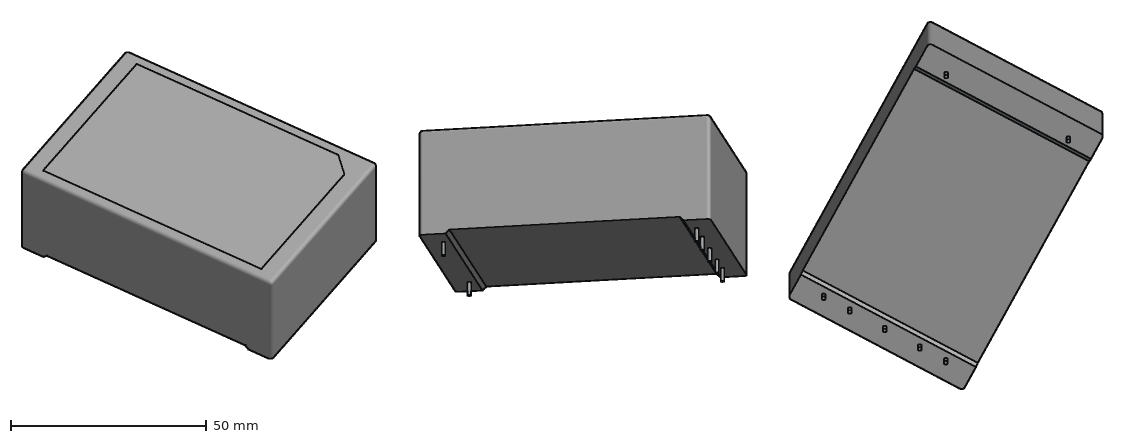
import cadquery as cq

case_length = 76.0
case_width = 51.0
case_height = 28.1
edge_radius = 1.0

foot_length = 7.0
relief_depth = 1.0
relief_slope_run = 1.0

label_length = 66.05
label_width = 45.0
label_corner_cut = 5.0
label_thickness = 0.4

pin_diameter = 1.0
pin_length = 3.5
pin_row_x = label_length / 2
inner_pin_y = 10.2
outer_pin_y = 17.8
left_row_y = [-outer_pin_y, -inner_pin_y, 0, inner_pin_y, outer_pin_y]
right_row_y = [-outer_pin_y, outer_pin_y]
pin_places = [(-pin_row_x, y) for y in left_row_y] + [(pin_row_x, y) for y in right_row_y]


def make_label():
    """Rectangular plate with its +X +Y corner cut at 45 degrees."""
    return (
        cq.Workplane("XY")
        .workplane(offset=case_height - label_thickness)
        .rect(label_length, label_width)
        .extrude(label_thickness)
        .edges("|Z and >X and >Y")
        .chamfer(label_corner_cut)
    )


def make_relief():
    """Trapezoidal channel running through the underside along Y."""
    mouth_half = case_length / 2 - foot_length
    roof_half = mouth_half - relief_slope_run
    return (
        cq.Workplane("XZ")
        .polyline([
            (-mouth_half, 0),
            (-roof_half, relief_depth),
            (roof_half, relief_depth),
            (mouth_half, 0),
        ])
        .close()
        .extrude(case_width / 2, both=True)
    )


def make_case(label):
    """Block with rounded upright and top edges, relieved below and recessed for the label."""
    block = (
        cq.Workplane("XY")
        .box(case_length, case_width, case_height, centered=(True, True, False))
        .edges("|Z or >Z")
        .fillet(edge_radius)
    )
    return block.cut(make_relief()).cut(label)


def make_pin(x, y):
    """Round pin standing against the underside of a foot."""
    return cq.Workplane("XY").center(x, y).circle(pin_diameter / 2).extrude(-pin_length)


label = make_label()
case = make_case(label)
pins = [make_pin(x, y).val() for x, y in pin_places]

result = cq.Compound.makeCompound([case.val(), label.val(), *pins])